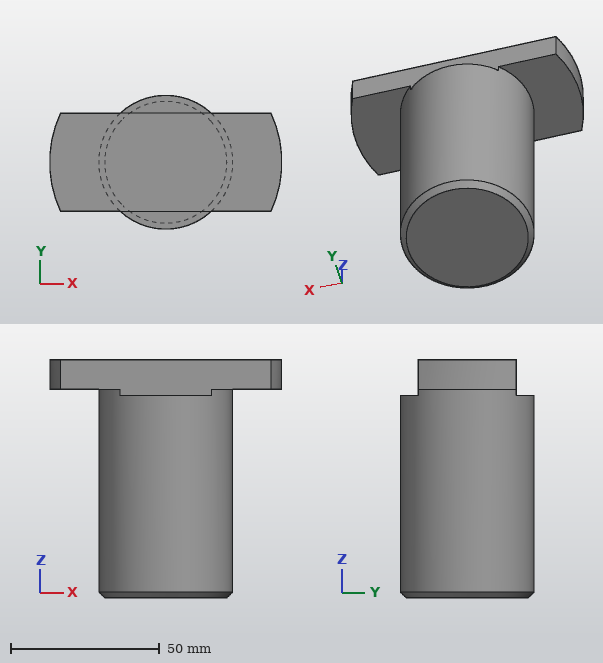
import cadquery as cq

total_height = 80.0
shank_diameter = 45.0
shank_chamfer = 2.0

head_diameter = 78.0
head_width = 33.0
head_thickness = 10.0
neck_height = 2.0

head_bottom = total_height - head_thickness
shoulder_height = head_bottom - neck_height


def flatted_disc(diameter, bottom, height):
    """Disc around Z with flats facing -Y and +Y, head_width apart."""
    disc = cq.Workplane("XY").workplane(offset=bottom).circle(diameter / 2).extrude(height)
    bar = cq.Workplane("XY").workplane(offset=bottom).rect(diameter, head_width).extrude(height)
    return disc.intersect(bar)


shank = (
    cq.Workplane("XY")
    .circle(shank_diameter / 2)
    .extrude(shoulder_height)
    .faces("<Z")
    .chamfer(shank_chamfer)
)

neck = flatted_disc(shank_diameter, shoulder_height, neck_height)
head = flatted_disc(head_diameter, head_bottom, head_thickness)

result = shank.union(neck).union(head)